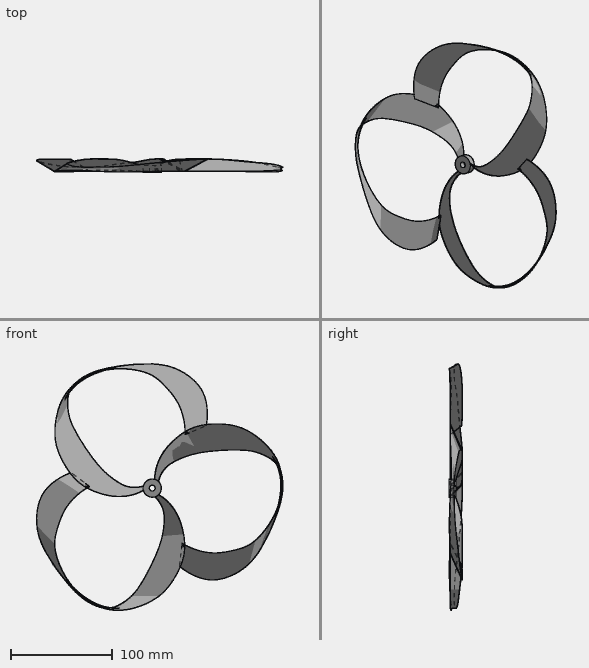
import cadquery as cq

BLADE_COUNT = 3
BLADE_THICKNESS = 0.6

HUB_DIAMETER = 18.0
BORE_DIAMETER = 5.5
HUB_LENGTH = 7.0
HUB_FRONT_Y = -6.8

FRONT = 0
BACK = 1

BLADE_STATIONS = [
    ((2.5, -5.5, 6.9), (5.9, -0.6, 4.9)),
    ((5.2, -5.5, 24.0), (9.7, 2.4, 15.4)),
    ((12.9, -5.5, 38.0), (15.2, 4.6, 21.8)),
    ((21.0, -5.5, 46.8), (22.7, 6.0, 26.6)),
    ((38.2, -5.5, 58.5), (40.0, 6.5, 33.2)),
    ((63.1, -5.5, 63.0), (63.1, 6.4, 36.7)),
    ((85.8, -5.5, 59.7), (81.4, 5.0, 37.5)),
    ((104.7, -5.4, 48.8), (98.6, 3.3, 36.1)),
    ((116.4, -4.9, 37.1), (112.0, 2.2, 31.2)),
    ((124.2, -4.3, 23.0), (123.5, 0.3, 21.7)),
    ((127.0, -4.4, 9.6), (127.5, -1.2, 9.6)),
    ((126.0, -5.5, -8.8), (126.9, -1.5, -8.8)),
    ((120.3, -6.2, -25.4), (121.3, -1.0, -27.9)),
    ((110.3, -6.2, -41.5), (109.4, 1.6, -54.3)),
    ((94.2, -5.8, -56.1), (95.3, 3.9, -73.9)),
    ((77.8, -5.5, -61.5), (78.1, 5.5, -85.6)),
    ((61.2, -5.5, -63.6), (58.0, 6.4, -90.1)),
    ((45.4, -5.5, -61.2), (41.8, 6.4, -86.1)),
    ((29.3, -5.5, -54.0), (26.6, 6.0, -76.5)),
]


def hub():
    """Plain disc with a through bore, its axis along Y."""
    front = cq.Workplane("XZ", origin=(0, HUB_FRONT_Y, 0))
    return front.circle(HUB_DIAMETER / 2).circle(BORE_DIAMETER / 2).extrude(-HUB_LENGTH)


def edge_points(side):
    """Points of the FRONT or BACK edge of the blade's middle surface."""
    return [cq.Vector(*station[side]) for station in BLADE_STATIONS]


def half_thickness_offsets(fronts, backs):
    """Vectors square to the strip at each station, half the blade thickness long."""
    middles = [(front + back) * 0.5 for front, back in zip(fronts, backs)]
    last = len(middles) - 1
    offsets = []
    for i in range(len(middles)):
        along = middles[min(i + 1, last)] - middles[max(i - 1, 0)]
        normal = along.cross(backs[i] - fronts[i]).normalized()
        offsets.append(normal * (BLADE_THICKNESS / 2))
    return offsets


def blade():
    """Thin twisted strip: middle edges offset half the thickness to both sides, then skinned."""
    fronts = edge_points(FRONT)
    backs = edge_points(BACK)
    offsets = half_thickness_offsets(fronts, backs)

    corner_curves = [
        cq.Edge.makeSpline([point + offset * side for point, offset in zip(points, offsets)])
        for points, side in ((fronts, 1), (backs, 1), (backs, -1), (fronts, -1))
    ]
    faces = []
    for k in range(len(corner_curves)):
        faces.append(cq.Face.makeRuledSurface(corner_curves[k - 1], corner_curves[k]))
    for curve_end in (0, 1):
        corners = [curve.positionAt(curve_end) for curve in corner_curves]
        faces.append(cq.Face.makeFromWires(cq.Wire.makePolygon(corners, close=True)))
    return cq.Workplane(cq.Solid.makeSolid(cq.Shell.makeShell(faces)))


def propeller():
    """Hub joined with equally spaced copies of the blade; each ends in the next one."""
    one_blade = blade()
    body = hub()
    for k in range(BLADE_COUNT):
        angle = k * 360 / BLADE_COUNT
        body = body.union(one_blade.rotate((0, 0, 0), (0, 1, 0), angle))
    return body


result = propeller()